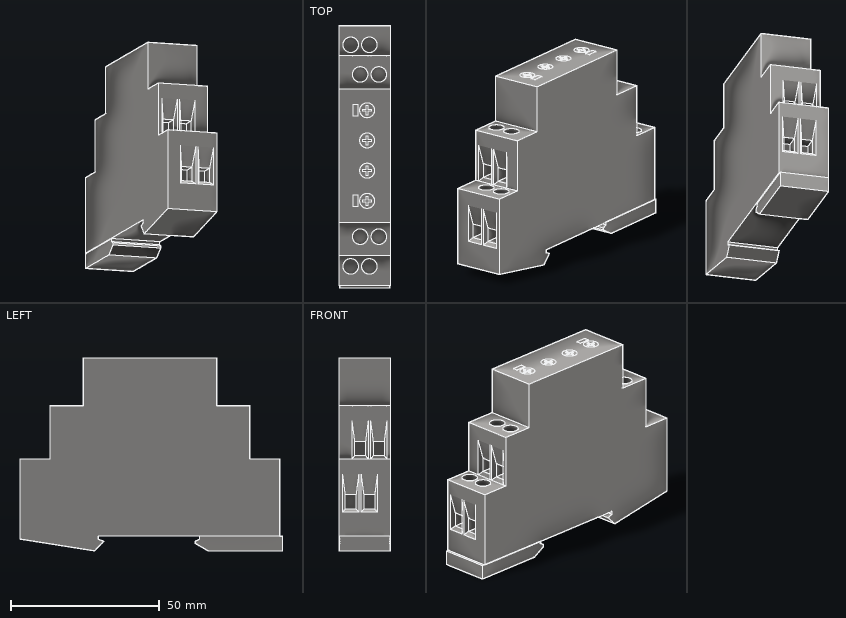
import cadquery as cq


housing_width = 17.5
housing_height = 65.0
middle_tier_top = 48.95
lower_tier_top = 31.0
lower_tier_length = 87.5
middle_tier_length = 67.3
upper_tier_length = 45.0
seat_height = 5.0

lip_height = 4.0
hook_nose_height = 3.3
fixed_hook_root_y = 17.3
fixed_hook_nose_y = 15.5
fixed_hook_tip_y = 18.6
clip_width = 17.0
clip_front_y = lower_tier_length / 2 - 88.4
clip_root_y = -16.6
clip_nose_y = -15.2
clip_nose_bottom = 2.6
clip_toe_y = -19.6

terminal_pitch = 6.3
terminal_pair_shift = 1.6
screw_hole_diameter = 5.2
screw_hole_depth = 2.5
middle_hole_y = 27.3
lower_hole_y = 37.3

entry_drop = 5.2
mouth_width = 5.5
mouth_height = middle_tier_top - lower_tier_top - entry_drop
bore_width = 3.7
bore_height = 4.9
bore_rise = 1.1
funnel_depth = 1.4
bore_depth = 5.3

screw_diameter = 5.0
screw_length = 2.65
screw_x = 0.8
screw_pitch = 10.2
screw_count = 4
cross_length = 3.1
cross_slot_width = 0.6
cross_depth = 0.8
window_x = -3.1
window_width = 1.7
window_length = 3.8
window_depth = 0.9

screw_places = [(screw_x, (i - (screw_count - 1) / 2) * screw_pitch) for i in range(screw_count)]
window_places = [(window_x, y) for y in (screw_places[0][1], screw_places[-1][1])]

ledges = [
    (middle_tier_top, middle_tier_length / 2, middle_hole_y, terminal_pair_shift),
    (lower_tier_top, lower_tier_length / 2, lower_hole_y, -terminal_pair_shift),
]


def extrude_profile(points, width):
    """Solid from a Y-Z outline, centred on X = 0."""
    return cq.Workplane("YZ").polyline(points).close().extrude(width / 2, both=True)


def make_screw_blank(place):
    """Plain cylinder that fills the seat of one adjusting screw."""
    return (
        cq.Workplane("XY", origin=(*place, housing_height))
        .circle(screw_diameter / 2)
        .extrude(-screw_length)
    )


def make_window(place):
    """Rectangular indicator window, flush with the top of the housing."""
    return (
        cq.Workplane("XY", origin=(*place, housing_height))
        .rect(window_width, window_length)
        .extrude(-window_depth)
    )


def make_screw(place):
    """Adjusting screw with a cross recess."""
    cross = (
        cq.Workplane("XY", origin=(*place, housing_height))
        .rect(cross_length, cross_slot_width)
        .extrude(-cross_depth)
        .union(
            cq.Workplane("XY", origin=(*place, housing_height))
            .rect(cross_slot_width, cross_length)
            .extrude(-cross_depth)
        )
    )
    return make_screw_blank(place).cut(cross)


def make_wire_entry(x, wall_y, ledge_top):
    """Cutter for one wire entry that opens in the -Y end wall at wall_y."""
    mouth_bottom = ledge_top - entry_drop - mouth_height
    mouth_centre = mouth_bottom + mouth_height / 2
    bore_centre = mouth_bottom + bore_rise + bore_height / 2
    funnel = (
        cq.Workplane("XZ", origin=(x, wall_y, mouth_centre))
        .rect(mouth_width, mouth_height)
        .workplane(offset=-funnel_depth)
        .center(0, bore_centre - mouth_centre)
        .rect(bore_width, bore_height)
        .loft(ruled=True)
    )
    bore = (
        cq.Workplane("XZ", origin=(x, wall_y + funnel_depth, bore_centre))
        .rect(bore_width, bore_height)
        .extrude(-bore_depth)
    )
    return funnel.union(bore)


def make_screw_hole(x, y, ledge_top):
    """Cutter for one round terminal screw hole in a ledge."""
    return (
        cq.Workplane("XY", origin=(x, y, ledge_top))
        .circle(screw_hole_diameter / 2)
        .extrude(-screw_hole_depth)
    )


def make_housing():
    """Stepped housing with its fixed rail hook, terminals and seats for the inserts."""
    lower_y = lower_tier_length / 2
    middle_y = middle_tier_length / 2
    upper_y = upper_tier_length / 2
    body = extrude_profile(
        [
            (-lower_y, seat_height),
            (-lower_y, lower_tier_top),
            (-middle_y, lower_tier_top),
            (-middle_y, middle_tier_top),
            (-upper_y, middle_tier_top),
            (-upper_y, housing_height),
            (upper_y, housing_height),
            (upper_y, middle_tier_top),
            (middle_y, middle_tier_top),
            (middle_y, lower_tier_top),
            (lower_y, lower_tier_top),
            (lower_y, lip_height),
            (fixed_hook_tip_y, 0),
            (fixed_hook_nose_y, hook_nose_height),
            (fixed_hook_root_y, lip_height),
            (fixed_hook_root_y, seat_height),
        ],
        housing_width,
    )
    for ledge_top, wall_distance, hole_distance, shift in ledges:
        for x in (shift - terminal_pitch / 2, shift + terminal_pitch / 2):
            hole = make_screw_hole(x, -hole_distance, ledge_top)
            entry = make_wire_entry(x, -wall_distance, ledge_top)
            for cutter in (hole, entry):
                body = body.cut(cutter).cut(cutter.mirror("XZ"))
    for place in screw_places:
        body = body.cut(make_screw_blank(place))
    for place in window_places:
        body = body.cut(make_window(place))
    return body


def make_rail_clip():
    """Rail clip under the front half of the housing, slightly narrower than it."""
    return extrude_profile(
        [
            (clip_front_y, 0),
            (clip_front_y, seat_height),
            (clip_root_y, seat_height),
            (clip_root_y, lip_height),
            (clip_nose_y, hook_nose_height),
            (clip_nose_y, clip_nose_bottom),
            (clip_toe_y, 0),
        ],
        clip_width,
    )


housing = make_housing()
rail_clip = make_rail_clip()
screws = [make_screw(place) for place in screw_places]
windows = [make_window(place) for place in window_places]

result = cq.Compound.makeCompound(
    [housing.val(), rail_clip.val()]
    + [screw.val() for screw in screws]
    + [window.val() for window in windows]
)